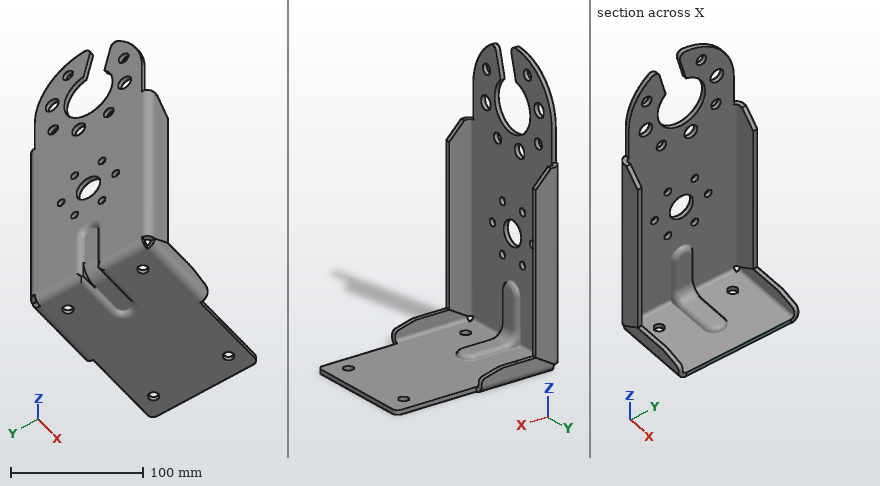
import cadquery as cq
import math

thickness = 4.0
bend_outer = 7.0
bend_inner = bend_outer - thickness
plate_half_width = 50.0
total_half_width = plate_half_width + bend_outer

base_length = 150.0
base_corner_radius = 5.0
base_hole_diameter = 8.5
base_hole_first_x = 22.0
base_hole_spacing_x = 110.0
base_hole_spacing_y = 70.0

head_center_z = 199.0
head_radius = plate_half_width
clamp_bore_radius = 22.5
clamp_slot_width = 20.0
clamp_slot_angle = 15.0
slot_tip_radius = 5.0
slot_root_radius = 1.0

small_head_hole_diameter = 9.0
small_head_hole_circle_radius = 38.0
small_head_hole_angles = (45.0, 135.0, 225.0, 315.0)
large_head_hole_diameter = 12.0
large_head_hole_circle_radius = 35.0
large_head_hole_angles = (90.0, 180.0, 270.0)

hub_center_z = 94.0
hub_diameter = 22.0
hub_hole_count = 6
hub_hole_circle_radius = 25.5
hub_first_hole_angle = 30.0
hub_hole_diameter = 6.5

upright_flange_depth = 24.0
upright_flange_top = 170.0
upright_flange_chamfer = 14.0
base_flange_height = 17.0
base_flange_end = 75.0
base_flange_slope_start = 55.5
base_flange_slope_angle = 14.0
base_flange_nose_radius = 5.0
base_flange_slope_radius = 20.0
seam_gap = 0.2

bead_depth = 4.0
bead_bend_center = 18.0
bead_leg_center = 44.5
bead_half_width = 10.2
bead_edge_radius = 5.0
bead_foot_radius = 0.8
recess_half_width = 12.0
recess_mouth_radius = 5.0
recess_floor_radius = 1.0
recess_turn = math.acos(1 - bead_depth / (recess_mouth_radius + recess_floor_radius))
recess_join_half_width = recess_half_width - recess_mouth_radius * math.sin(recess_turn)


def box(x0, x1, y0, y1, z0, z1):
    """Axis-aligned block between two opposite corners."""
    return cq.Workplane("XY").box(x1 - x0, y1 - y0, z1 - z0, centered=False).translate((x0, y0, z0))


def across_legs(solid):
    """Mirror a solid across the plane x = z, swapping the base and upright directions."""
    return solid.mirror((1, 0, -1))


def both_sides(solid):
    """Join a solid with its mirror image across the XZ plane."""
    return solid.union(solid.mirror("XZ"))


def quarter_bend(length):
    """Quarter tube along local Z that fills the quadrant x < 0, y < 0 around its axis."""
    ring = cq.Workplane("XY").circle(bend_outer).circle(bend_inner).extrude(length)
    return ring.intersect(box(-bend_outer, 0, -bend_outer, 0, 0, length))


def base_plate():
    plate = box(bend_outer, base_length, -plate_half_width, plate_half_width, 0, thickness)
    return plate.edges("|Z and >X").fillet(base_corner_radius)


def slot_corner(side, radius):
    """Point where one side of the slot (-1 or +1) meets a circle about the head centre."""
    tilt = math.radians(clamp_slot_angle)
    across = side * clamp_slot_width / 2
    along = math.sqrt(radius**2 - across**2)
    y = across * math.cos(tilt) - along * math.sin(tilt)
    z = across * math.sin(tilt) + along * math.cos(tilt)
    return (thickness / 2, y, head_center_z + z)


def upright_plate():
    plate = box(0, thickness, -plate_half_width, plate_half_width, bend_outer, head_center_z)
    head_plane = cq.Workplane("YZ").center(0, head_center_z)
    head = head_plane.circle(head_radius).extrude(thickness)
    bore = head_plane.circle(clamp_bore_radius).extrude(thickness)
    half_slot = clamp_slot_width / 2
    slot = (
        box(0, thickness, -half_slot, half_slot, 0, 2 * head_radius)
        .rotate((0, 0, 0), (1, 0, 0), clamp_slot_angle)
        .translate((0, 0, head_center_z))
    )
    plate = plate.union(head).cut(bore).cut(slot)
    for side in (-1, 1):
        tip = cq.NearestToPointSelector(slot_corner(side, head_radius))
        plate = plate.edges(tip).fillet(slot_tip_radius)
        root = cq.NearestToPointSelector(slot_corner(side, clamp_bore_radius))
        plate = plate.edges(root).fillet(slot_root_radius)
    return plate


def corner_bend():
    """Bend along Y between the base and the upright."""
    bend = quarter_bend(2 * plate_half_width).rotate((0, 0, 0), (1, 0, 0), 90)
    return bend.translate((bend_outer, plate_half_width, bend_outer))


def side_plate(points):
    """Flat part of a flange on the -Y side, from its XZ outline."""
    outline = cq.Workplane("XZ", origin=(0, thickness - total_half_width, 0)).polyline(points).close()
    return outline.extrude(thickness)


def upright_flanges():
    length = upright_flange_top - bend_outer
    bend = quarter_bend(length).translate((bend_outer, -plate_half_width, bend_outer))
    flat = side_plate(
        [
            (bend_outer, bend_outer + seam_gap),
            (upright_flange_depth, base_flange_height + seam_gap),
            (upright_flange_depth, upright_flange_top - upright_flange_chamfer),
            (upright_flange_depth - upright_flange_chamfer, upright_flange_top),
            (bend_outer, upright_flange_top),
        ]
    )
    return both_sides(bend.union(flat))


def base_flanges():
    length = base_flange_end - bend_outer
    bend = across_legs(quarter_bend(length).translate((bend_outer, -plate_half_width, bend_outer)))
    slope_run = base_flange_end - base_flange_slope_start
    nose_z = base_flange_height - slope_run * math.tan(math.radians(base_flange_slope_angle))
    flat = side_plate(
        [
            (bend_outer, bend_outer),
            (base_flange_end, bend_outer),
            (base_flange_end, nose_z),
            (base_flange_slope_start, base_flange_height),
            (upright_flange_depth, base_flange_height),
        ]
    )
    mid_y = thickness / 2 - total_half_width
    nose = cq.NearestToPointSelector((base_flange_end, mid_y, nose_z))
    flat = flat.edges(nose).fillet(base_flange_nose_radius)
    slope_start = cq.NearestToPointSelector((base_flange_slope_start, mid_y, base_flange_height))
    flat = flat.edges(slope_start).fillet(base_flange_slope_radius)
    return both_sides(bend.union(flat))


def bead_body():
    """Raised side of the bead: an L with round leg ends and a hollow inner corner."""
    height = thickness + bead_depth
    leg_box = box(0, bead_leg_center, -bead_half_width, bead_half_width, 0, height)
    leg_end = cq.Workplane("XY").center(bead_leg_center, 0).circle(bead_half_width).extrude(height)
    leg = leg_box.union(leg_end)
    corner = box(height, bead_bend_center, -bead_half_width, bead_half_width, height, bead_bend_center)
    hollow = (
        cq.Workplane("XZ", origin=(bead_bend_center, bead_half_width, bead_bend_center))
        .circle(bead_bend_center - height)
        .extrude(2 * bead_half_width)
    )
    body = leg.union(across_legs(leg)).union(corner.cut(hollow)).clean()
    body = body.edges(cq.NearestToPointSelector((0, 0, 0))).fillet(bend_outer)
    crest = cq.NearestToPointSelector((bead_leg_center + bead_half_width, 0, height))
    return body.edges(crest).fillet(bead_edge_radius)


def recess_profile(plane):
    """Half section of the recess on a YZ plane, from its centre line out to the mouth."""
    half_turn = recess_turn / 2
    mouth_y = recess_half_width
    join_y = recess_join_half_width
    join_z = recess_mouth_radius * (1 - math.cos(recess_turn))
    mouth_mid_y = mouth_y - recess_mouth_radius * math.sin(half_turn)
    mouth_mid_z = recess_mouth_radius * (1 - math.cos(half_turn))
    floor_y = join_y - recess_floor_radius * math.sin(recess_turn)
    floor_mid_y = floor_y + recess_floor_radius * math.sin(half_turn)
    floor_mid_z = bead_depth - recess_floor_radius * (1 - math.cos(half_turn))
    return (
        plane.moveTo(0, 0)
        .lineTo(mouth_y, 0)
        .threePointArc((mouth_mid_y, mouth_mid_z), (join_y, join_z))
        .threePointArc((floor_mid_y, floor_mid_z), (floor_y, bead_depth))
        .lineTo(0, bead_depth)
        .close()
    )


def recess_leg():
    """Recess along the base, from the outer corner to its round end."""
    half = recess_profile(cq.Workplane("YZ")).extrude(bead_leg_center)
    end_plane = cq.Workplane("YZ", origin=(bead_leg_center, 0, 0))
    end = recess_profile(end_plane).revolve(360, (0, 0), (0, 1))
    return both_sides(half).union(end)


def recess_corner():
    """Rounded floor that carries the recess from one leg to the other."""
    half_width = recess_join_half_width
    block = box(0, bead_bend_center, -half_width, half_width, 0, bead_bend_center)
    hollow = (
        cq.Workplane("XZ", origin=(bead_bend_center, half_width, bead_bend_center))
        .circle(bead_bend_center - bead_depth)
        .extrude(2 * half_width)
    )
    return block.cut(hollow)


def base_holes():
    return (
        cq.Workplane("XY")
        .center(base_hole_first_x + base_hole_spacing_x / 2, 0)
        .rarray(base_hole_spacing_x, base_hole_spacing_y, 2, 2)
        .circle(base_hole_diameter / 2)
        .extrude(thickness)
    )


def upright_hole(center_z, circle_radius, angle, diameter):
    """Hole cutter through the upright; the angle is from vertical towards -Y."""
    y = -circle_radius * math.sin(math.radians(angle))
    z = center_z + circle_radius * math.cos(math.radians(angle))
    return cq.Workplane("YZ").center(y, z).circle(diameter / 2).extrude(thickness)


def upright_holes():
    holes = upright_hole(hub_center_z, 0, 0, hub_diameter)
    for index in range(hub_hole_count):
        angle = hub_first_hole_angle + index * 360 / hub_hole_count
        holes = holes.union(upright_hole(hub_center_z, hub_hole_circle_radius, angle, hub_hole_diameter))
    for offset in small_head_hole_angles:
        angle = clamp_slot_angle + offset
        holes = holes.union(
            upright_hole(head_center_z, small_head_hole_circle_radius, angle, small_head_hole_diameter)
        )
    for offset in large_head_hole_angles:
        angle = clamp_slot_angle + offset
        holes = holes.union(
            upright_hole(head_center_z, large_head_hole_circle_radius, angle, large_head_hole_diameter)
        )
    return holes


def beaded_sheet():
    """Folded sheet with the raised side of the bead and the small fillet at its foot."""
    sheet = base_plate().union(corner_bend()).union(upright_plate())
    sheet = sheet.union(upright_flanges()).union(base_flanges())
    foot = cq.NearestToPointSelector((bead_leg_center + bead_half_width, 0, thickness))
    return sheet.union(bead_body()).edges(foot).fillet(bead_foot_radius)


def recess():
    leg = recess_leg()
    return leg.union(across_legs(leg)).union(recess_corner())


result = beaded_sheet().cut(recess()).cut(base_holes()).cut(upright_holes())